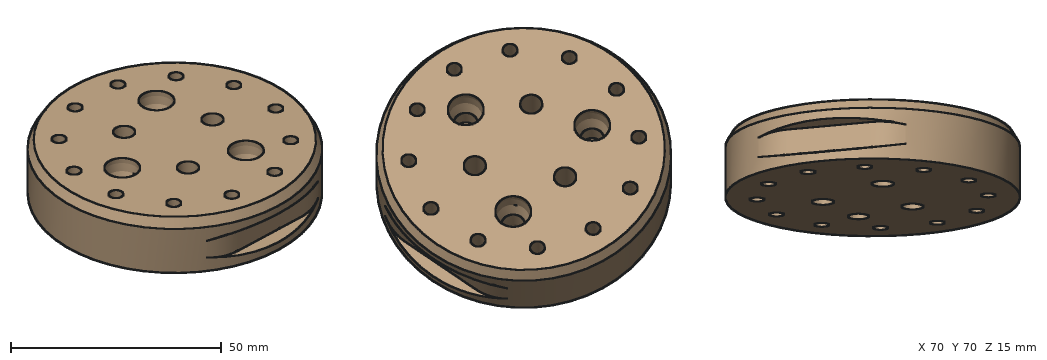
import cadquery as cq
import math

disc_diameter = 70.0
disc_radius = disc_diameter / 2
disc_height = 15.0
chamfer_height = 2.5
chamfer_width = 1.5

rim_hole_count = 12
rim_hole_diameter = 3.5
rim_hole_circle_radius = 27.5
rim_hole_start_angle = 180.0 / rim_hole_count

inner_hole_count = 3
inner_hole_diameter = 5.25
inner_hole_circle_radius = 12.5
inner_hole_start_angle = 90.0

socket_circle_radius = 17.5
blind_socket_angles = (-90.0, 150.0)
open_socket_angle = 30.0
socket_mouth_diameter = 8.5
socket_mouth_depth = 1.5
socket_taper_diameter = 7.9
socket_taper_depth = 3.6
socket_cone_diameter = 5.6
socket_cone_depth = 6.1
socket_floor_diameter = 5.0
socket_depth = 10.0

slot_mid_height = (disc_height - chamfer_height) / 2
slot_floor_distance = 32.0
slot_end_radius = 15.0
slot_rim_opening = 8.1
slot_wall_slope = 0.32
slot_wedge_depth = 8.0
wedge_overshoot = 2.0


def polar_points(count, radius, start_angle):
    """Points equally spaced on a circle about the disc axis."""
    angles = [math.radians(start_angle + i * 360.0 / count) for i in range(count)]
    return [(radius * math.cos(a), radius * math.sin(a)) for a in angles]


def make_disc():
    """Disc with a bevelled top edge."""
    top_radius = disc_radius - chamfer_width
    return (
        cq.Workplane("XZ")
        .moveTo(0, 0)
        .lineTo(disc_radius, 0)
        .lineTo(disc_radius, disc_height - chamfer_height)
        .lineTo(top_radius, disc_height)
        .lineTo(0, disc_height)
        .close()
        .revolve(360, (0, 0, 0), (0, 1, 0))
    )


def make_through_holes(count, diameter, circle_radius, start_angle):
    """Ring of straight holes through the full height."""
    points = polar_points(count, circle_radius, start_angle)
    return cq.Workplane("XY").pushPoints(points).circle(diameter / 2).extrude(disc_height)


def make_socket(angle):
    """Blind socket: straight mouth, steep taper, cone, then a tapered bore with a flat floor."""
    floor_z = disc_height - socket_depth
    profile = (
        cq.Workplane("XZ")
        .moveTo(0, disc_height)
        .lineTo(socket_mouth_diameter / 2, disc_height)
        .lineTo(socket_mouth_diameter / 2, disc_height - socket_mouth_depth)
        .lineTo(socket_taper_diameter / 2, disc_height - socket_taper_depth)
        .lineTo(socket_cone_diameter / 2, disc_height - socket_cone_depth)
        .lineTo(socket_floor_diameter / 2, floor_z)
        .lineTo(0, floor_z)
        .close()
    )
    socket = profile.revolve(360, (0, 0, 0), (0, 1, 0))
    return socket.translate((socket_circle_radius, 0, 0)).rotate((0, 0, 0), (0, 0, 1), angle)


def make_slot():
    """Slot on the +X side: a wedge that narrows inward, ended by a floor with curved ends."""
    outer_x = disc_radius + wedge_overshoot
    inner_x = disc_radius - slot_wedge_depth
    outer_half = slot_rim_opening / 2 + slot_wall_slope * wedge_overshoot
    inner_half = slot_rim_opening / 2 - slot_wall_slope * slot_wedge_depth
    wedge = (
        cq.Workplane("XZ")
        .moveTo(inner_x, slot_mid_height - inner_half)
        .lineTo(outer_x, slot_mid_height - outer_half)
        .lineTo(outer_x, slot_mid_height + outer_half)
        .lineTo(inner_x, slot_mid_height + inner_half)
        .close()
        .extrude(disc_radius, both=True)
    )

    arc_center_x = slot_floor_distance - slot_end_radius
    floor_half_length = math.sqrt((disc_radius - slot_end_radius) ** 2 - arc_center_x ** 2)
    end_angle = math.atan2(floor_half_length, arc_center_x)
    arc_mid_x = arc_center_x + slot_end_radius * math.cos(end_angle / 2)
    arc_mid_y = floor_half_length + slot_end_radius * math.sin(end_angle / 2)
    arc_end_x = disc_radius * math.cos(end_angle)
    arc_end_y = disc_radius * math.sin(end_angle)
    plan = (
        cq.Workplane("XY")
        .moveTo(outer_x, -arc_end_y)
        .lineTo(arc_end_x, -arc_end_y)
        .threePointArc((arc_mid_x, -arc_mid_y), (slot_floor_distance, -floor_half_length))
        .lineTo(slot_floor_distance, floor_half_length)
        .threePointArc((arc_mid_x, arc_mid_y), (arc_end_x, arc_end_y))
        .lineTo(outer_x, arc_end_y)
        .close()
        .extrude(disc_height)
    )
    return wedge.intersect(plan)


result = make_disc()

result = result.cut(
    make_through_holes(rim_hole_count, rim_hole_diameter, rim_hole_circle_radius, rim_hole_start_angle)
)
result = result.cut(
    make_through_holes(inner_hole_count, inner_hole_diameter, inner_hole_circle_radius, inner_hole_start_angle)
)

for socket_angle in (*blind_socket_angles, open_socket_angle):
    result = result.cut(make_socket(socket_angle))
result = result.cut(make_through_holes(1, socket_floor_diameter, socket_circle_radius, open_socket_angle))

slot = make_slot()
result = result.cut(slot).cut(slot.mirror("YZ"))